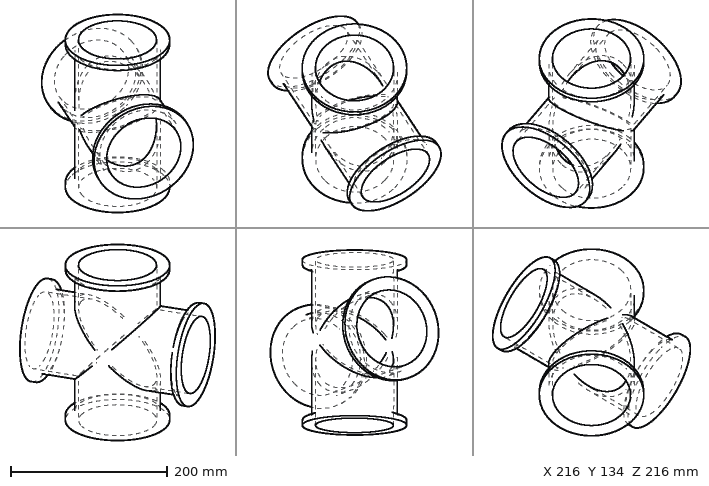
import cadquery as cq
import math

overall_length = 216.0
bore_diameter = 100.0
pipe_diameter = 110.0
flange_diameter = 134.0

rim_width = 6.0
back_slope = 20.0
rim_fillet = 2.5
root_fillet = 3.2

half_length = overall_length / 2
pipe_radius = pipe_diameter / 2
flange_radius = flange_diameter / 2

run_angles = (0, 90)


def arc_depth_and_rise(radius, angle):
    """Axial and radial extent of an arc that turns by angle (radians) from the axial direction."""
    return radius * math.sin(angle), radius * (1 - math.cos(angle))


def half_run():
    """Solid pipe from the centre to one flanged end, along +Z."""
    turn = math.radians(90 - back_slope)
    rim_depth, rim_rise = arc_depth_and_rise(rim_fillet, turn)
    rim_mid_depth, rim_mid_rise = arc_depth_and_rise(rim_fillet, turn / 2)
    root_depth, root_rise = arc_depth_and_rise(root_fillet, turn)
    root_mid_depth, root_mid_rise = arc_depth_and_rise(root_fillet, turn / 2)

    cone_height = flange_radius - pipe_radius - rim_rise - root_rise
    cone_depth = cone_height * math.tan(math.radians(back_slope))

    rim_end = half_length - rim_width
    cone_start = rim_end - rim_depth
    cone_end = cone_start - cone_depth
    root_end = cone_end - root_depth

    profile = (
        cq.Workplane("XZ")
        .lineTo(0, half_length)
        .lineTo(flange_radius, half_length)
        .lineTo(flange_radius, rim_end)
        .threePointArc(
            (flange_radius - rim_mid_rise, rim_end - rim_mid_depth),
            (flange_radius - rim_rise, cone_start),
        )
        .lineTo(pipe_radius + root_rise, cone_end)
        .threePointArc(
            (pipe_radius + root_mid_rise, root_end + root_mid_depth),
            (pipe_radius, root_end),
        )
        .lineTo(pipe_radius, 0)
        .close()
    )
    return profile.revolve(360, (0, 0, 0), (0, 1, 0))


def straight_run():
    """Solid pipe along Z with a flange at both ends."""
    upper_half = half_run()
    return upper_half.union(upper_half.mirror("XY"))


def bore():
    """Full-length bore along Z."""
    return cq.Workplane("XY").circle(bore_diameter / 2).extrude(half_length, both=True)


def cross_of(run):
    """Join one copy of a Z-aligned body along each run axis."""
    joined = cq.Workplane("XY")
    for angle in run_angles:
        joined = joined.add(run.rotate((0, 0, 0), (0, 1, 0), angle))
    return joined.combine()


result = cross_of(straight_run()).cut(cross_of(bore())).clean()